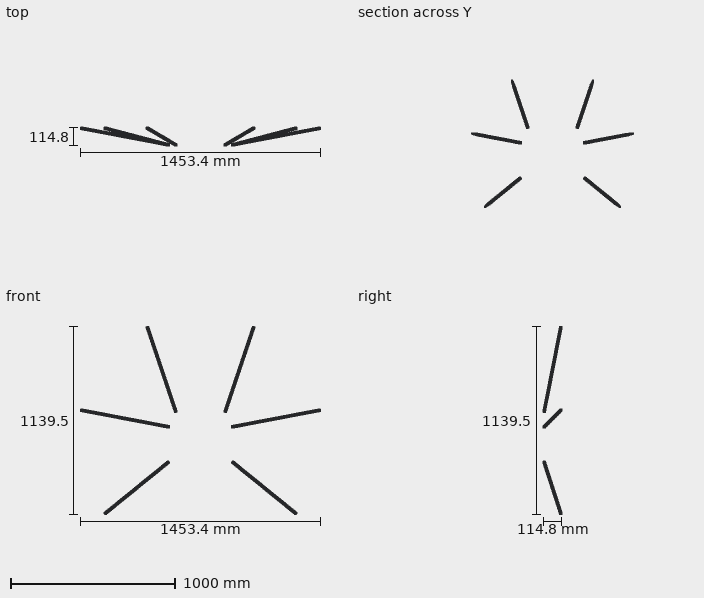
import cadquery as cq

outer_diameter = 13.0
bore_diameter = 10.0

rear_y = 51.0
front_y = -rear_y

upper_hub, upper_rim = (150.0, 52.0), (323.0, 567.0)
middle_hub, middle_rim = (190.0, -39.0), (725.0, 62.0)
lower_hub, lower_rim = (195.0, -253.0), (580.0, -565.0)
spoke_ends = [
    (upper_hub, upper_rim),
    (middle_hub, middle_rim),
    (lower_hub, lower_rim),
]


def make_tube(hub, rim, side):
    """Straight tube with square-cut ends; side is +1 or -1 for the +X or -X half."""
    start = cq.Vector(side * hub[0], front_y, hub[1])
    end = cq.Vector(side * rim[0], rear_y, rim[1])
    axis = end - start
    section = cq.Plane(origin=start, normal=axis)
    return (
        cq.Workplane(section)
        .circle(outer_diameter / 2)
        .circle(bore_diameter / 2)
        .extrude(axis.Length)
    )


tubes = []
for hub, rim in spoke_ends:
    for side in (-1, 1):
        tubes.append(make_tube(hub, rim, side).val())

result = cq.Compound.makeCompound(tubes)